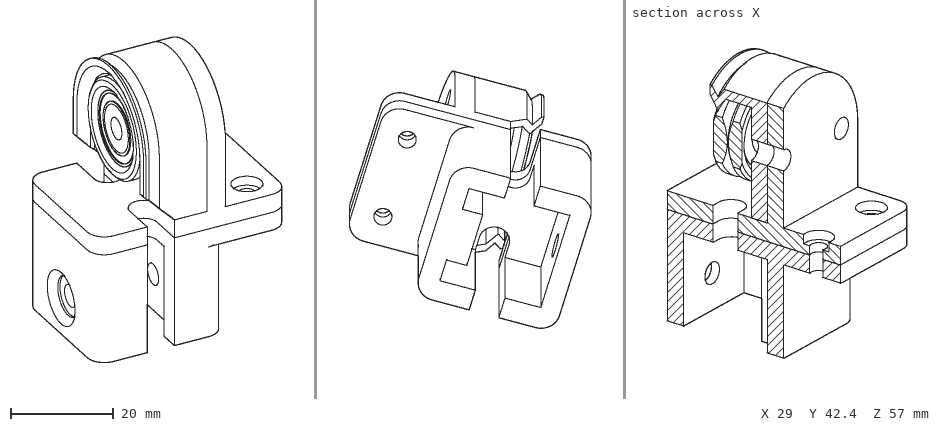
import cadquery as cq

HEIGHT = 57.0
WIDTH = 29.0
DEPTH = 42.4
CORNER_RADIUS = 3.75
PLATE_THICKNESS = 4.0
LEG_HEIGHT = 20.0
SPLIT_Z = LEG_HEIGHT + PLATE_THICKNESS
PLATE_TOP_Z = SPLIT_Z + PLATE_THICKNESS

SLOT_WIDTH = 6.0
SLOT_FRONT_Y = 11.25
SLOT_BACK_Y = SLOT_FRONT_Y + SLOT_WIDTH
NOTCH_LENGTH = 10.1

CAVITY_WIDTH = 20.3
CAVITY_FRONT_Y = 4.0
BOSS_WIDTH = 11.2
BOSS_FRONT_Y = 20.3

SCREW_Z = 8.0
SCREW_HOLE_DIAMETER = 4.6
SCREW_SEAT_DIAMETER = 8.4
SCREW_SINK_DIAMETER = 11.4
SCREW_SEAT_DEPTH = 2.0
BOSS_HOLE_DIAMETER = 4.5
BOSS_HOLE_DEPTH = 4.0

MOUNT_X = 8.5
MOUNT_Y = DEPTH - 6.0
MOUNT_HOLE_DIAMETER = 3.5
MOUNT_BORE_DIAMETER = 6.2
MOUNT_BORE_DEPTH = 2.0

WALL_BACK_Y = 28.5
WALL_FRONT_Y = 24.4
ARCH_RADIUS = WIDTH / 2
AXIS_Z = HEIGHT - ARCH_RADIUS
WINDOW_DIAMETER = 4.5
WINDOW_X = 9.25

HOOD_FRONT_Y = 10.45
HOOD_INNER_RADIUS = 12.95
HOOD_FLOOR_Y = 20.6
BEAD_INNER_RADIUS = 11.0
BEAD_HEIGHT = HOOD_INNER_RADIUS - BEAD_INNER_RADIUS
GROOVE_FRONT_Y = 10.95
GROOVE_DEPTH = 1.5

ROLLER_FRONT_Y = 11.3
ROLLER_RADIUS = 21.0 / 2
ROLLER_CHAMFER = 0.55
RIM_WIDTH = 1.65
ROLLER_GROOVE_DEPTH = 1.3
ROLLER_WIDTH = 2 * (ROLLER_CHAMFER + RIM_WIDTH + ROLLER_GROOVE_DEPTH)
ROLLER_BACK_Y = ROLLER_FRONT_Y + ROLLER_WIDTH
DISH_RADIUS = 17.3 / 2
DISH_FLOOR_RADIUS = 15.4 / 2
DISH_DEPTH = 0.9

BEARING_FRONT_Y = ROLLER_FRONT_Y + DISH_DEPTH
BEARING_BACK_Y = ROLLER_BACK_Y - DISH_DEPTH
BEARING_RADIUS = 15.3 / 2
FACE_RECESS_OUTER_RADIUS = 14.2 / 2
FACE_RECESS_INNER_RADIUS = 11.0 / 2
FACE_RECESS_DEPTH = 0.2
BUSHING_RADIUS = 9.8 / 2
BUSHING_BORE_RADIUS = 4.5 / 2


def box_between(x0, x1, y0, y1, z0, z1):
    return cq.Workplane("XY").box(x1 - x0, y1 - y0, z1 - z0, centered=False).translate((x0, y0, z0))


def rounded_slab(back_y, z0, z1):
    """Full-width slab from the front face to back_y with rounded vertical corners."""
    slab = box_between(-WIDTH / 2, WIDTH / 2, 0, back_y, z0, z1)
    return slab.edges("|Z").fillet(CORNER_RADIUS)


def cylinder_y(diameter, x, z, y0, y1):
    """Cylinder along Y from y0 to y1."""
    plane = cq.Plane(origin=(x, y0, z), xDir=(1, 0, 0), normal=(0, 1, 0))
    return cq.Workplane(plane).circle(diameter / 2).extrude(y1 - y0)


def revolved_on_axis(profile):
    """Solid of revolution about the roller axis from (radius, Y) points."""
    turned = cq.Workplane("XY").polyline(profile).close().revolve(360, (0, 0, 0), (0, 1, 0))
    return turned.translate((0, 0, AXIS_Z))


def windows(y0, y1):
    """Round openings on both sides of the roller axis."""
    left = cylinder_y(WINDOW_DIAMETER, -WINDOW_X, AXIS_Z, y0, y1)
    return left.union(left.mirror("YZ"))


def arch(radius, y0, y1):
    """Round-topped upright, standing on the plate, of half-width radius."""
    plane = cq.Plane(origin=(0, y0, PLATE_TOP_Z), xDir=(-1, 0, 0), normal=(0, 1, 0))
    side = AXIS_Z - PLATE_TOP_Z
    outline = (
        cq.Workplane(plane)
        .moveTo(-radius, 0)
        .lineTo(-radius, side)
        .threePointArc((0, side + radius), (radius, side))
        .lineTo(radius, 0)
        .close()
    )
    return outline.extrude(y1 - y0)


def arch_bead(base_radius, tip_radius, y0, y1):
    """Triangular bead swept along the arch, with its base at base_radius and its tip at tip_radius."""
    profile = [(base_radius, y0), (tip_radius, (y0 + y1) / 2), (base_radius, y1)]
    bend = cq.Workplane("XY").polyline(profile).close().revolve(180, (0, 0, 0), (0, -1, 0))
    bend = bend.translate((0, 0, AXIS_Z))
    side = cq.Workplane("XY", origin=(0, 0, PLATE_TOP_Z)).polyline(profile).close()
    side = side.extrude(AXIS_Z - PLATE_TOP_Z)
    return bend.union(side).union(side.mirror("YZ"))


def notch(sign, z0, z1):
    """Round-ended slot cut in from one side; sign picks the side."""
    radius = SLOT_WIDTH / 2
    tip_centre = WIDTH / 2 - NOTCH_LENGTH + radius
    middle_y = (SLOT_FRONT_Y + SLOT_BACK_Y) / 2
    x0, x1 = sorted((sign * tip_centre, sign * WIDTH / 2))
    straight = box_between(x0, x1, SLOT_FRONT_Y, SLOT_BACK_Y, z0, z1)
    end = cq.Workplane("XY", origin=(sign * tip_centre, middle_y, z0)).circle(radius).extrude(z1 - z0)
    return straight.union(end)


def mounting_holes(diameter, z0, z1):
    points = [(-MOUNT_X, MOUNT_Y), (MOUNT_X, MOUNT_Y)]
    return cq.Workplane("XY", origin=(0, 0, z0)).pushPoints(points).circle(diameter / 2).extrude(z1 - z0)


def screw_hole():
    """Countersunk clearance hole in the front leg and a blind screw hole in the boss."""
    sink_radius = SCREW_SINK_DIAMETER / 2
    seat_radius = SCREW_SEAT_DIAMETER / 2
    sink_depth = sink_radius - seat_radius
    profile = [
        (0, 0),
        (sink_radius, 0),
        (seat_radius, sink_depth),
        (seat_radius, SCREW_SEAT_DEPTH),
        (0, SCREW_SEAT_DEPTH),
    ]
    seat = cq.Workplane("XY").polyline(profile).close().revolve(360, (0, 0, 0), (0, 1, 0))
    seat = seat.translate((0, 0, SCREW_Z))
    clearance = cylinder_y(SCREW_HOLE_DIAMETER, 0, SCREW_Z, 0, CAVITY_FRONT_Y)
    boss_hole = cylinder_y(
        BOSS_HOLE_DIAMETER, 0, SCREW_Z, BOSS_FRONT_Y, BOSS_FRONT_Y + BOSS_HOLE_DEPTH
    )
    return seat.union(clearance).union(boss_hole)


def leg_cavity():
    """Hollow between the outer walls of the legs, less the boss on the back wall."""
    cavity = box_between(-CAVITY_WIDTH / 2, CAVITY_WIDTH / 2, CAVITY_FRONT_Y, WALL_FRONT_Y, 0, LEG_HEIGHT)
    boss = box_between(-BOSS_WIDTH / 2, BOSS_WIDTH / 2, BOSS_FRONT_Y, WALL_FRONT_Y, 0, LEG_HEIGHT)
    return cavity.cut(boss)


def make_clamp_block():
    block = rounded_slab(DEPTH, LEG_HEIGHT, SPLIT_Z).union(rounded_slab(WALL_BACK_Y, 0, LEG_HEIGHT))
    block = block.cut(box_between(-WIDTH / 2, WIDTH / 2, SLOT_FRONT_Y, SLOT_BACK_Y, 0, LEG_HEIGHT))
    block = block.cut(leg_cavity())
    for sign in (-1, 1):
        block = block.cut(notch(sign, LEG_HEIGHT, SPLIT_Z))
    block = block.cut(mounting_holes(MOUNT_HOLE_DIAMETER, LEG_HEIGHT, SPLIT_Z))
    return block.cut(screw_hole())


def make_bracket():
    bracket = rounded_slab(DEPTH, SPLIT_Z, PLATE_TOP_Z)
    bracket = bracket.union(arch(ARCH_RADIUS, WALL_FRONT_Y, WALL_BACK_Y))
    for sign in (-1, 1):
        bracket = bracket.cut(notch(sign, SPLIT_Z, PLATE_TOP_Z))
    bracket = bracket.cut(windows(WALL_FRONT_Y, WALL_BACK_Y))
    bracket = bracket.cut(mounting_holes(MOUNT_HOLE_DIAMETER, SPLIT_Z, PLATE_TOP_Z))
    return bracket.cut(mounting_holes(MOUNT_BORE_DIAMETER, PLATE_TOP_Z - MOUNT_BORE_DEPTH, PLATE_TOP_Z))


def make_hood():
    hood = arch(ARCH_RADIUS, HOOD_FRONT_Y, WALL_FRONT_Y)
    hood = hood.cut(arch(HOOD_INNER_RADIUS, HOOD_FRONT_Y, HOOD_FLOOR_Y))
    bead_back_y = HOOD_FRONT_Y + 2 * BEAD_HEIGHT
    hood = hood.union(arch_bead(HOOD_INNER_RADIUS, BEAD_INNER_RADIUS, HOOD_FRONT_Y, bead_back_y))
    groove_back_y = GROOVE_FRONT_Y + 2 * GROOVE_DEPTH
    groove = arch_bead(ARCH_RADIUS, ARCH_RADIUS - GROOVE_DEPTH, GROOVE_FRONT_Y, groove_back_y)
    hood = hood.cut(groove)
    cut_depth = SLOT_BACK_Y - HOOD_FRONT_Y
    cut_profile = [
        (HOOD_FRONT_Y, PLATE_TOP_Z),
        (SLOT_BACK_Y, PLATE_TOP_Z),
        (HOOD_FRONT_Y, PLATE_TOP_Z + cut_depth),
    ]
    wedge = cq.Workplane("YZ", origin=(-WIDTH / 2, 0, 0)).polyline(cut_profile).close().extrude(WIDTH)
    return hood.cut(wedge).cut(windows(HOOD_FLOOR_Y, WALL_FRONT_Y))


def make_roller():
    """Roller with two chamfered rims, a V groove between them and dished end faces."""
    middle_y = (ROLLER_FRONT_Y + ROLLER_BACK_Y) / 2
    front_half = [
        (BEARING_RADIUS, BEARING_FRONT_Y),
        (DISH_FLOOR_RADIUS, BEARING_FRONT_Y),
        (DISH_RADIUS, ROLLER_FRONT_Y),
        (ROLLER_RADIUS - ROLLER_CHAMFER, ROLLER_FRONT_Y),
        (ROLLER_RADIUS, ROLLER_FRONT_Y + ROLLER_CHAMFER),
        (ROLLER_RADIUS, middle_y - ROLLER_GROOVE_DEPTH),
    ]
    groove_bottom = (ROLLER_RADIUS - ROLLER_GROOVE_DEPTH, middle_y)
    back_half = [(radius, 2 * middle_y - y) for radius, y in reversed(front_half)]
    return revolved_on_axis([*front_half, groove_bottom, *back_half])


def make_ring(outer_radius, inner_radius, front_y, back_y):
    """Plain ring about the roller axis."""
    profile = [(inner_radius, front_y), (outer_radius, front_y), (outer_radius, back_y), (inner_radius, back_y)]
    return revolved_on_axis(profile)


def make_bearing():
    """Bearing with a shallow annular recess in its front face."""
    bearing = make_ring(BEARING_RADIUS, BUSHING_RADIUS, BEARING_FRONT_Y, BEARING_BACK_Y)
    recess = make_ring(
        FACE_RECESS_OUTER_RADIUS,
        FACE_RECESS_INNER_RADIUS,
        BEARING_FRONT_Y,
        BEARING_FRONT_Y + FACE_RECESS_DEPTH,
    )
    return bearing.cut(recess)


def make_bushing():
    """Bored bushing that carries the bearing and stands on the hood's back wall."""
    return make_ring(BUSHING_RADIUS, BUSHING_BORE_RADIUS, BEARING_FRONT_Y, HOOD_FLOOR_Y)


clamp_block = make_clamp_block()
bracket = make_bracket()
hood = make_hood()
roller = make_roller()
bearing = make_bearing()
bushing = make_bushing()

result = cq.Compound.makeCompound(
    [
        clamp_block.val(),
        bracket.val(),
        hood.val(),
        roller.val(),
        bearing.val(),
        bushing.val(),
    ]
)